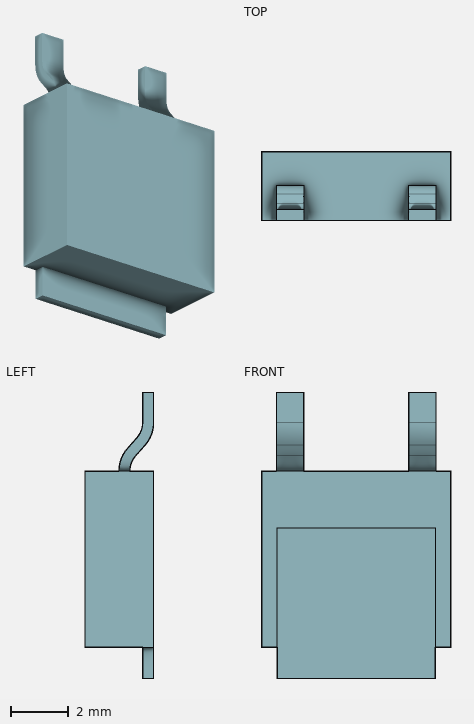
import cadquery as cq
import math

total_height = 9.9
total_depth = 2.39

housing_width = 6.54
housing_bottom = 1.08
housing_top = 7.18

tab_width = 5.47
tab_height = 5.22
tab_thickness = 0.39

lead_width = 0.95
lead_spacing = 4.57
lead_thickness = 0.39
lead_offset = 0.82
bend_inner_radius = 0.8
bend_angle = math.radians(41.5)

bend_mid_radius = bend_inner_radius + lead_thickness / 2
bend_shift = bend_mid_radius * (1 - math.cos(bend_angle))
slope_shift = lead_offset - 2 * bend_shift
slope_length = slope_shift / math.sin(bend_angle)


def block(width, y_front, y_back, z_bottom, z_top):
    """Box centred on X = 0 between the given Y and Z limits."""
    size_y = y_back - y_front
    size_z = z_top - z_bottom
    box = cq.Workplane("XY").box(width, size_y, size_z, centered=(True, False, False))
    return box.translate((0, y_front, z_bottom))


def make_tab():
    return block(tab_width, 0, tab_thickness, 0, tab_height)


def make_housing(tab):
    """Plain block with a recess that the tab fills."""
    body = block(housing_width, 0, total_depth, housing_bottom, housing_top)
    return body.cut(tab)


def make_lead(x_center):
    """Flat strip bent towards the front and then back to vertical."""
    lower_y = lead_thickness / 2 + lead_offset - bend_mid_radius
    lower_z = housing_top
    upper_y = lead_thickness / 2 + bend_mid_radius
    bend_rise = bend_mid_radius * math.sin(bend_angle)
    upper_z = housing_top + 2 * bend_rise + slope_length * math.cos(bend_angle)
    bend_outer_radius = bend_inner_radius + lead_thickness

    def on_lower(radius, angle):
        return (lower_y + radius * math.cos(angle), lower_z + radius * math.sin(angle))

    def on_upper(radius, angle):
        return (upper_y - radius * math.cos(angle), upper_z - radius * math.sin(angle))

    half = bend_angle / 2
    profile = (
        cq.Workplane("YZ")
        .moveTo(*on_lower(bend_inner_radius, 0))
        .threePointArc(on_lower(bend_inner_radius, half), on_lower(bend_inner_radius, bend_angle))
        .lineTo(*on_upper(bend_outer_radius, bend_angle))
        .threePointArc(on_upper(bend_outer_radius, half), on_upper(bend_outer_radius, 0))
        .lineTo(0, total_height)
        .lineTo(lead_thickness, total_height)
        .lineTo(*on_upper(bend_inner_radius, 0))
        .threePointArc(on_upper(bend_inner_radius, half), on_upper(bend_inner_radius, bend_angle))
        .lineTo(*on_lower(bend_outer_radius, bend_angle))
        .threePointArc(on_lower(bend_outer_radius, half), on_lower(bend_outer_radius, 0))
        .close()
    )
    return profile.extrude(lead_width).translate((x_center - lead_width / 2, 0, 0))


tab = make_tab()
housing = make_housing(tab)
leads = [make_lead(side * lead_spacing / 2) for side in (-1, 1)]

result = cq.Compound.makeCompound([housing.val(), tab.val(), *[lead.val() for lead in leads]])